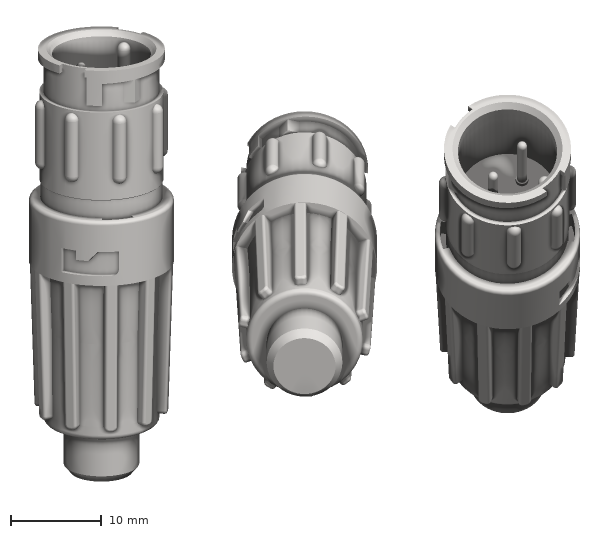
import cadquery as cq
import math

total_length = 49.65
grip_bottom_z = 5.9
collar_bottom_z = 24.75
collar_top_z = 32.3
shell_step_z = 34.4
neck_bottom_z = 44.7

cable_radius = 4.15
cable_chamfer_radial = 0.75
cable_chamfer_height = 0.9

shell_radius = 6.85
plug_radius = 6.75
step_chamfer = 0.1
neck_radius = 6.4
bore_radius = 5.45
bore_mouth_radius = 6.05
bore_mouth_depth = 0.6
bore_floor_z = 39.75

shell_rib_count = 8
shell_rib_radius = 0.8
shell_rib_reach = 7.6
shell_rib_bottom_z = 36.25
shell_rib_top_z = 44.35

lip_radius = 7.0
tab_bottom_z = 45.55
lip_gap_width = 3.1
lip_root_radius = 6.2
ramp_start_angle = -61.2
ramp_sweep_angle = 166.0
ramp_start_z = 48.1
ramp_pitch = 1.55
bump_peak_angle = -29.6
bump_half_angle = 10.4
bump_peak_radius = 6.95
bayonet_turns = (0, 180)

pin_offset_x = 2.55
pin_radius = 0.55
pin_tip_z = 47.55
pin_foot_radius = 0.7
pin_foot_height = 0.5
key_radius = 0.75
key_offset_y = 5.25
key_tip_z = 48.65
mark_offset_y = 1.8
mark_radius = 0.2
mark_depth = 0.25

collar_radius = 8.0
collar_edge_fillet = 0.45
entry_slot_radius = 7.45
entry_slot_start_angle = -61.0
entry_slot_end_angle = -33.0
entry_slot_depth = 2.5
window_floor_radius = 7.45
window_left_x = -0.7
window_right_x = 5.35
window_bottom_z = 25.85
window_top_z = 28.7
window_notch_z = 27.6
window_notch_left_x = 1.1
window_notch_right_x = 2.45
window_slope_end_x = 3.45
window_corner_fillet = 0.65

grip_radius = 6.4
grip_waist_radius = 6.45
grip_top_radius = 6.7
grip_band_top_z = 7.55
grip_cone_z = 17.3
grip_bottom_fillet = 0.6
grip_rib_count = 10
grip_rib_turn = 0.5
grip_rib_width = 1.4
grip_rib_corner_fillet = 0.5
grip_rib_edge_fillet = 0.3
grip_rib_root_radius = 5.95
grip_rib_foot_radius = 7.4
grip_rib_top_radius = 7.95
grip_rib_bottom_z = 7.25

overcut = 0.5


def cylinder(radius, bottom_z, top_z):
    return cq.Workplane("XY").workplane(offset=bottom_z).circle(radius).extrude(top_z - bottom_z)


def revolved(points):
    """Turn an outline of (radius, z) points around the Z axis."""
    return cq.Workplane("XZ").polyline(points).close().revolve(360, (0, 0, 0), (0, 1, 0))


def turned(body, angle):
    return body.rotate((0, 0, 0), (0, 0, 1), angle)


def polar(radius, angle):
    return (radius * math.cos(math.radians(angle)), radius * math.sin(math.radians(angle)))


def domed_post(radius, x, y, bottom_z, tip_z):
    """Upright round post with a hemispherical tip."""
    post = cylinder(radius, bottom_z, tip_z - radius)
    dome = cq.Workplane("XY").sphere(radius).translate((0, 0, tip_z - radius))
    return post.union(dome).translate((x, y, 0))




def make_bayonet_lip():
    """Ring with two gaps, each half cut back below a helical ramp, plus two ratchet bumps."""
    lip_height = total_length - tab_bottom_z
    lip = cylinder(lip_radius, tab_bottom_z, total_length)
    gap = cq.Workplane("XY").box(lip_gap_width, 3 * lip_radius, lip_height, centered=(True, True, False))
    lip = lip.cut(gap.translate((0, 0, tab_bottom_z)))
    ramp_height = ramp_pitch * ramp_sweep_angle / 360
    cut_bottom_z = tab_bottom_z - 2 * ramp_height
    under_ramp_profile = (
        cq.Workplane("XZ")
        .moveTo(lip_root_radius, cut_bottom_z)
        .lineTo(lip_radius + overcut, cut_bottom_z)
        .lineTo(lip_radius + overcut, ramp_start_z)
        .lineTo(lip_root_radius, ramp_start_z)
        .close()
    )
    helix = cq.Wire.makeHelix(ramp_pitch, ramp_height, lip_radius, center=cq.Vector(0, 0, ramp_start_z))
    under_ramp = turned(under_ramp_profile.sweep(cq.Workplane(helix), isFrenet=True), ramp_start_angle)
    bump = (
        cq.Workplane("XY")
        .workplane(offset=tab_bottom_z)
        .moveTo(0, 0)
        .lineTo(*polar(neck_radius, bump_peak_angle - bump_half_angle))
        .lineTo(*polar(bump_peak_radius, bump_peak_angle))
        .lineTo(*polar(neck_radius, bump_peak_angle + bump_half_angle))
        .close()
        .extrude(lip_height)
    )
    for angle in bayonet_turns:
        lip = lip.cut(turned(under_ramp, angle))
    for angle in bayonet_turns:
        lip = lip.union(turned(bump, angle))
    return lip.cut(cylinder(bore_radius, tab_bottom_z, total_length))


def make_shell_rib():
    height = shell_rib_top_z - shell_rib_bottom_z
    upper = domed_post(shell_rib_radius, 0, 0, 0, height / 2)
    rib = upper.union(upper.mirror("XY"))
    middle_z = (shell_rib_top_z + shell_rib_bottom_z) / 2
    return rib.translate((shell_rib_reach - shell_rib_radius, 0, middle_z))


def make_shell():
    shell = revolved(
        [
            (0, collar_bottom_z),
            (plug_radius, collar_bottom_z),
            (plug_radius, shell_step_z - step_chamfer),
            (shell_radius, shell_step_z),
            (shell_radius, neck_bottom_z),
            (neck_radius, neck_bottom_z),
            (neck_radius, total_length),
            (0, total_length),
        ]
    )
    shell = shell.union(make_bayonet_lip())
    for i in range(shell_rib_count):
        shell = shell.union(turned(make_shell_rib(), i * 360 / shell_rib_count))

    bore = revolved(
        [
            (0, bore_floor_z),
            (bore_radius, bore_floor_z),
            (bore_radius, total_length - bore_mouth_depth),
            (bore_mouth_radius, total_length),
            (0, total_length),
        ]
    )
    shell = shell.cut(bore)

    for x in (-pin_offset_x, pin_offset_x):
        foot = cylinder(pin_foot_radius, bore_floor_z, bore_floor_z + pin_foot_height).translate((x, 0, 0))
        shell = shell.union(foot).union(domed_post(pin_radius, x, 0, bore_floor_z, pin_tip_z))
    shell = shell.union(domed_post(key_radius, 0, key_offset_y, bore_floor_z, key_tip_z))
    mark = cylinder(mark_radius, bore_floor_z - mark_depth, bore_floor_z)
    return shell.cut(mark.translate((-pin_offset_x, mark_offset_y, 0)))




def make_grip_rib():
    """One rib along +X, its crest tapering towards the cable end."""
    rib = (
        cq.Workplane("XZ")
        .moveTo(grip_rib_root_radius, grip_rib_bottom_z)
        .lineTo(grip_rib_foot_radius, grip_rib_bottom_z)
        .lineTo(grip_rib_top_radius, collar_bottom_z)
        .lineTo(grip_rib_root_radius, collar_bottom_z)
        .close()
        .extrude(grip_rib_width / 2, both=True)
    )
    rib = rib.faces("<Z").edges("|X").fillet(grip_rib_corner_fillet)
    return rib.faces(">X").edges("not >Z").fillet(grip_rib_edge_fillet)


def make_window():
    """Bayonet track recess in the -Y side of the collar."""
    outline = (
        cq.Workplane("XZ")
        .moveTo(window_left_x, window_bottom_z)
        .lineTo(window_right_x, window_bottom_z)
        .lineTo(window_right_x, window_top_z)
        .lineTo(window_slope_end_x, window_top_z)
        .lineTo(window_notch_right_x, window_notch_z)
        .lineTo(window_notch_left_x, window_notch_z)
        .lineTo(window_notch_left_x, window_top_z)
        .lineTo(window_left_x, window_top_z)
        .close()
        .extrude(collar_radius + overcut)
    )
    outline = outline.edges("|Y and >X and <Z").fillet(window_corner_fillet)
    return outline.cut(cylinder(window_floor_radius, collar_bottom_z, collar_top_z))


def make_entry_slot():
    middle_angle = (entry_slot_start_angle + entry_slot_end_angle) / 2
    return (
        cq.Workplane("XY")
        .workplane(offset=collar_top_z - entry_slot_depth)
        .moveTo(0, 0)
        .lineTo(*polar(entry_slot_radius, entry_slot_start_angle))
        .threePointArc(polar(entry_slot_radius, middle_angle), polar(entry_slot_radius, entry_slot_end_angle))
        .close()
        .extrude(entry_slot_depth)
    )


def make_grip():
    sleeve = revolved(
        [
            (0, grip_bottom_z),
            (grip_radius, grip_bottom_z),
            (grip_radius, grip_band_top_z),
            (grip_waist_radius, grip_cone_z),
            (grip_top_radius, collar_bottom_z),
            (0, collar_bottom_z),
        ]
    )
    grip = sleeve.faces("<Z").edges().fillet(grip_bottom_fillet)
    for i in range(grip_rib_count):
        grip = grip.union(turned(make_grip_rib(), -90 + grip_rib_turn + i * 360 / grip_rib_count))

    collar = cylinder(collar_radius, collar_bottom_z, collar_top_z)
    grip = grip.union(collar.faces(">Z").edges().fillet(collar_edge_fillet))
    grip = grip.cut(cylinder(plug_radius, collar_bottom_z, collar_top_z))
    for angle in bayonet_turns:
        grip = grip.cut(turned(make_window(), angle)).cut(turned(make_entry_slot(), angle))
    return grip.cut(cylinder(cable_radius, grip_bottom_z, collar_bottom_z))




def make_cable():
    return revolved(
        [
            (0, 0),
            (cable_radius - cable_chamfer_radial, 0),
            (cable_radius, cable_chamfer_height),
            (cable_radius, collar_bottom_z),
            (0, collar_bottom_z),
        ]
    )


shell = make_shell()
grip = make_grip()
cable = make_cable()

result = cq.Compound.makeCompound([shell.val(), grip.val(), cable.val()])